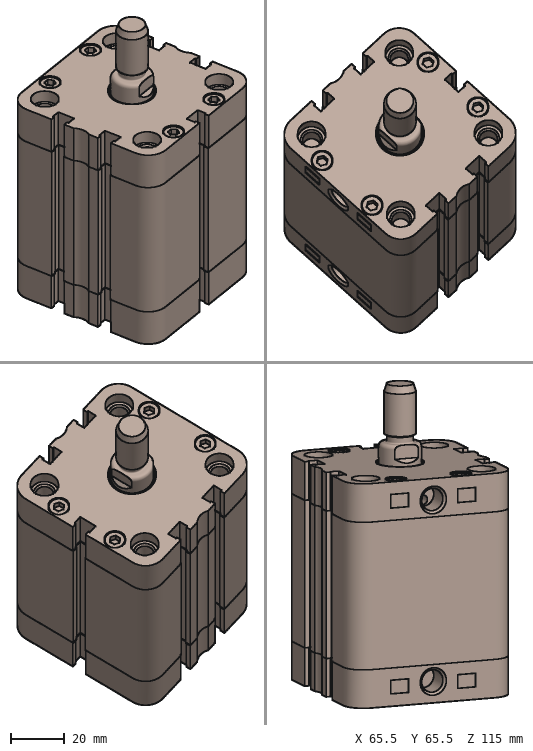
import cadquery as cq
import math

side = 65.5
half_side = side / 2
corner_radius = 8.0
total_height = 115.0
body_height = 85.2
cap_height = 14.6
upper_cap_bottom = body_height - cap_height

slot_mouth = 5.4
slot_width = 6.7
slot_lip = 2.1
slot_depth = 5.2
slot_offset = 10.6
cap_slot_clearance = 0.2

groove_width = 6.9
groove_depth = 1.0
groove_radius = (groove_width**2 / 4 + groove_depth**2) / (2 * groove_depth)

mount_pitch = 46.5
counterbore_diameter = 10.5
counterbore_depth = 4.8
lead_in_diameter = 8.0
mount_diameter = 6.7
mount_depth = 11.5

screw_x = 28.1
screw_y = 13.0
screw_recess_diameter = 7.9
screw_head_diameter = 7.4
screw_head_drop = 0.3
screw_head_chamfer = 0.3
socket_across_flats = 3.7
socket_depth = 2.3

port_height = 8.2
port_mouth_diameter = 10.5
port_diameter = 8.5
port_depth = 10.0
passage_diameter = 3.5
passage_offset = 1.8
passage_length = 5.0

label_offset = 13.5
label_width = 7.1
label_height = 5.2
label_depth = 0.2
label_distance = 7.4

collar_diameter = 16.0
collar_top = 92.9
collar_fillet = 1.6
neck_diameter = 10.0
neck_fillet = 0.6
thread_diameter = 12.0
thread_bottom = 96.0
thread_runout = 0.6
tip_diameter = 10.0
tip_length = 2.9
across_flats = 13.0
flat_bottom = 87.7
seal_mouth_diameter = 18.0
seal_diameter = 17.7
seal_lip_diameter = 16.6
seal_lip_drop = 0.6
seal_depth = 0.5


def slot_cutter(height, clearance):
    """Undercut slot opening towards -Y, with its mouth on the plane y = 0."""
    mouth = cq.Workplane("XY").box(
        slot_mouth + 2 * clearance, 2 * slot_depth, height, centered=(True, True, False)
    )
    floor = slot_depth + clearance
    lip = slot_lip - clearance
    pocket = (
        cq.Workplane("XY")
        .box(slot_width + 2 * clearance, floor - lip, height, centered=(True, False, False))
        .translate((0, lip, 0))
    )
    return mouth.union(pocket)


def body_section(height, slot_clearance):
    """Length of the square section with its five slots and two round grooves."""
    section = cq.Workplane("XY").box(side, side, height, centered=(True, True, False))
    section = section.edges("|Z").fillet(corner_radius)

    slot = slot_cutter(height, slot_clearance)
    groove = cq.Workplane("XY").circle(groove_radius).extrude(height)
    groove_y = half_side + groove_radius - groove_depth
    for turn in (0, 180):
        front_cut = groove.translate((0, -groove_y, 0))
        for x in (-slot_offset, slot_offset):
            front_cut = front_cut.union(slot.translate((x, -half_side, 0)))
        section = section.cut(front_cut.rotate((0, 0, 0), (0, 0, 1), turn))

    side_slot = slot.translate((0, -half_side, 0)).rotate((0, 0, 0), (0, 0, 1), 90)
    return section.cut(side_slot)


def revolved(points):
    """Solid of revolution about Z from (radius, z) points."""
    return cq.Workplane("XZ").polyline(points).close().revolve(360, (0, 0, 0), (0, 1, 0))


def port_cutter(z):
    """Chamfered blind port running inwards from the -X face."""
    mouth_radius = port_mouth_diameter / 2
    radius = port_diameter / 2
    chamfer = mouth_radius - radius
    port = revolved(
        [(0, 0), (mouth_radius, 0), (radius, chamfer), (radius, port_depth), (0, port_depth)]
    )
    return port.rotate((0, 0, 0), (0, 1, 0), 90).translate((-half_side, 0, z))


def label_cutter(z):
    """Pair of shallow label pockets in the -X face."""
    return (
        cq.Workplane("YZ", origin=(-half_side, 0, z))
        .pushPoints([(-label_offset, 0), (label_offset, 0)])
        .rect(label_width, label_height)
        .extrude(label_depth)
    )


def mount_hole_cutter():
    """Stepped mounting hole with its mouth on the plane z = 0."""
    bore_radius = counterbore_diameter / 2
    lead_radius = lead_in_diameter / 2
    hole_radius = mount_diameter / 2
    lead_bottom = -counterbore_depth - (lead_radius - hole_radius)
    return revolved(
        [
            (0, 0),
            (bore_radius, 0),
            (bore_radius, -counterbore_depth),
            (lead_radius, -counterbore_depth),
            (hole_radius, lead_bottom),
            (hole_radius, -mount_depth),
            (0, -mount_depth),
        ]
    )


def screw_head_cutter():
    """Recess, rim chamfer and hex socket that form a sunk screw head below z = 0."""
    recess_radius = screw_recess_diameter / 2
    recess = revolved(
        [
            (0, 0),
            (recess_radius, 0),
            (recess_radius, -screw_head_drop - screw_head_chamfer),
            (screw_head_diameter / 2, -screw_head_drop),
            (0, -screw_head_drop),
        ]
    )
    across_corners = socket_across_flats / math.cos(math.pi / 6)
    socket = cq.Workplane("XY").polygon(6, across_corners).extrude(-screw_head_drop - socket_depth)
    return recess.union(socket.rotate((0, 0, 0), (0, 0, 1), 90))


def rod_seat_cutter():
    """Through hole for the rod, with a chamfered seal recess around it at the top."""
    mouth_radius = seal_mouth_diameter / 2
    recess_radius = seal_diameter / 2
    lip_radius = seal_lip_diameter / 2
    rod_radius = collar_diameter / 2
    chamfer_bottom = body_height - (mouth_radius - recess_radius)
    return revolved(
        [
            (0, body_height),
            (mouth_radius, body_height),
            (recess_radius, chamfer_bottom),
            (recess_radius, body_height - seal_depth),
            (lip_radius, body_height - seal_depth),
            (rod_radius, body_height - seal_depth - seal_lip_drop),
            (rod_radius, upper_cap_bottom),
            (0, upper_cap_bottom),
        ]
    )


def make_barrel():
    barrel_height = body_height - 2 * cap_height
    return body_section(barrel_height, 0).translate((0, 0, cap_height))


def make_lower_cap():
    cap = body_section(cap_height, cap_slot_clearance)
    return cap.cut(port_cutter(port_height)).cut(label_cutter(label_distance))


def make_upper_cap():
    cap = body_section(cap_height, cap_slot_clearance).translate((0, 0, upper_cap_bottom))

    port_z = body_height - port_height
    cap = cap.cut(port_cutter(port_z)).cut(label_cutter(body_height - label_distance))
    passage = (
        cq.Workplane("YZ", origin=(-half_side + port_depth, 0, port_z - passage_offset))
        .circle(passage_diameter / 2)
        .extrude(passage_length)
    )
    cap = cap.cut(passage).cut(rod_seat_cutter())

    mount_hole = mount_hole_cutter()
    screw_head = screw_head_cutter()
    for x_sign in (-1, 1):
        for y_sign in (-1, 1):
            mount_place = (x_sign * mount_pitch / 2, y_sign * mount_pitch / 2, body_height)
            screw_place = (x_sign * screw_x, y_sign * screw_y, body_height)
            cap = cap.cut(mount_hole.translate(mount_place))
            cap = cap.cut(screw_head.translate(screw_place))
    return cap


def rod_blank():
    """Turned rod: filleted collar, neck, thread and tapered tip."""
    collar_radius = collar_diameter / 2
    neck_radius = neck_diameter / 2
    thread_radius = thread_diameter / 2
    bend = math.sqrt(0.5)
    collar_arc_x = collar_radius - collar_fillet * (1 - bend)
    collar_arc_z = collar_top - collar_fillet * (1 - bend)
    neck_arc_x = neck_radius + neck_fillet * (1 - bend)
    neck_arc_z = collar_top + neck_fillet * (1 - bend)
    return (
        cq.Workplane("XZ")
        .moveTo(0, upper_cap_bottom)
        .lineTo(collar_radius, upper_cap_bottom)
        .lineTo(collar_radius, collar_top - collar_fillet)
        .threePointArc((collar_arc_x, collar_arc_z), (collar_radius - collar_fillet, collar_top))
        .lineTo(neck_radius + neck_fillet, collar_top)
        .threePointArc((neck_arc_x, neck_arc_z), (neck_radius, collar_top + neck_fillet))
        .lineTo(neck_radius, thread_bottom - thread_runout)
        .lineTo(thread_radius, thread_bottom)
        .lineTo(thread_radius, total_height - tip_length)
        .lineTo(tip_diameter / 2, total_height)
        .lineTo(0, total_height)
        .close()
        .revolve(360, (0, 0, 0), (0, 1, 0))
    )


def wrench_flat_cutter():
    """Wrench flat on the +X side, running out at 45 degrees at its lower end."""
    inner_x = across_flats / 2
    outer_x = collar_diameter / 2
    run_out = outer_x - inner_x
    return (
        cq.Workplane("XZ")
        .polyline(
            [
                (inner_x, flat_bottom),
                (outer_x, flat_bottom - run_out),
                (outer_x, collar_top),
                (inner_x, collar_top),
            ]
        )
        .close()
        .extrude(collar_diameter / 2, both=True)
    )


def make_rod():
    rod = rod_blank()
    for turn in (0, 180):
        rod = rod.cut(wrench_flat_cutter().rotate((0, 0, 0), (0, 0, 1), turn))
    return rod


barrel = make_barrel()
lower_cap = make_lower_cap()
upper_cap = make_upper_cap()
rod = make_rod()

result = cq.Compound.makeCompound([barrel.val(), lower_cap.val(), upper_cap.val(), rod.val()])